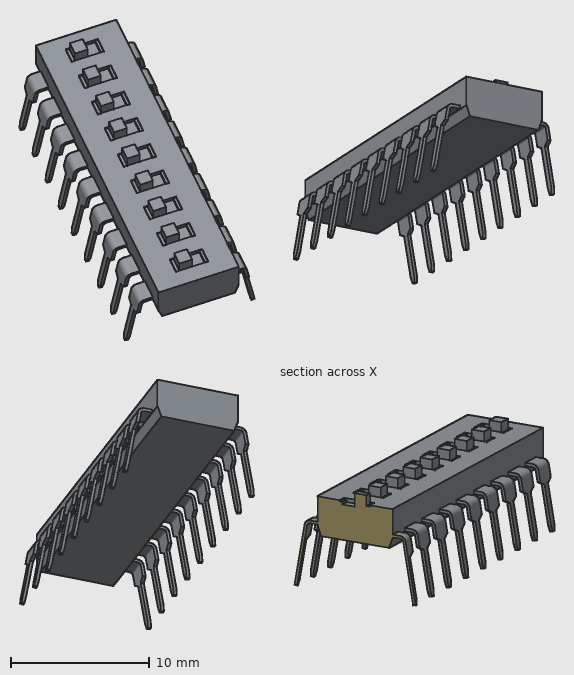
import cadquery as cq
import math


BODY_LENGTH = 23.9
BODY_WIDTH = 6.26
BODY_HEIGHT = 3.02
SKIRT_HEIGHT = 0.8
SKIRT_INSET = 0.3

POSITION_COUNT = 9
PITCH = 2.54
ROW_OFFSET_X = -0.07

SLOT_LENGTH = 2.5
SLOT_WIDTH = 1.2
SLOT_DEPTH = 0.1
POCKET_DEPTH = 0.3

ACTUATOR_WIDTH = 1.0
ACTUATOR_LENGTH = 1.0
ACTUATOR_HEIGHT = 0.72
ACTUATOR_BACK_Y = 0.03
POCKET_FRONT_Y = ACTUATOR_BACK_Y - ACTUATOR_LENGTH
POCKET_BACK_Y = ACTUATOR_BACK_Y + ACTUATOR_LENGTH

ROW_SPAN = 10.09
TOTAL_HEIGHT = 7.8
PIN_THICKNESS = 0.25
PIN_TOP_Z = -1.93
BEND_OUTER_RADIUS = 0.5
LEG_ANGLE = math.radians(10)
SHOULDER_WIDTH = 1.55
LEG_WIDTH = 0.52
TIP_WIDTH = 0.25
SHOULDER_BOTTOM_Z = -3.24
LEG_TOP_Z = -3.53
TIP_TAPER_HEIGHT = 0.5

PIN_END_Z = ACTUATOR_HEIGHT - TOTAL_HEIGHT


def box_between(x_center, width, y_front, y_back, z_bottom, z_top):
    """Box centred on x_center and spanning the given Y and Z limits."""
    return (
        cq.Workplane("XY", origin=(x_center, (y_front + y_back) / 2, z_bottom))
        .box(width, y_back - y_front, z_top - z_bottom, centered=(True, True, False))
    )


def make_body():
    """Bar whose long sides lean inward along the bottom."""
    half_width = BODY_WIDTH / 2
    skirt_top_z = SKIRT_HEIGHT - BODY_HEIGHT
    return (
        cq.Workplane("YZ")
        .polyline([
            (-half_width, 0),
            (half_width, 0),
            (half_width, skirt_top_z),
            (half_width - SKIRT_INSET, -BODY_HEIGHT),
            (SKIRT_INSET - half_width, -BODY_HEIGHT),
            (-half_width, skirt_top_z),
        ])
        .close()
        .extrude(BODY_LENGTH / 2, both=True)
    )


def make_slot(x):
    """Volume removed from the body for one actuator."""
    recess = box_between(x, SLOT_WIDTH, -SLOT_LENGTH / 2, SLOT_LENGTH / 2, -SLOT_DEPTH, 0)
    pocket = box_between(x, SLOT_WIDTH, POCKET_FRONT_Y, POCKET_BACK_Y, -POCKET_DEPTH, 0)
    return recess.union(pocket)


def make_actuator(x):
    """Block standing in the front half of the pocket."""
    return box_between(
        x, ACTUATOR_WIDTH, POCKET_FRONT_Y, ACTUATOR_BACK_Y, -POCKET_DEPTH, ACTUATOR_HEIGHT
    )


def make_bent_strip():
    """Side profile of a +Y pin, extruded to the shoulder width."""
    along_y, along_z = math.sin(LEG_ANGLE), -math.cos(LEG_ANGLE)
    out_y, out_z = math.cos(LEG_ANGLE), math.sin(LEG_ANGLE)
    bend_z = PIN_TOP_Z - BEND_OUTER_RADIUS
    inner_radius = BEND_OUTER_RADIUS - PIN_THICKNESS

    inner_end = (ROW_SPAN / 2 - PIN_THICKNESS * out_y, PIN_END_Z)
    outer_end = (ROW_SPAN / 2, PIN_END_Z + PIN_THICKNESS * out_z)
    leg_length = (bend_z + inner_radius * out_z - PIN_END_Z) / -along_z
    bend_y = inner_end[0] - leg_length * along_y - inner_radius * out_y

    def on_bend(radius, angle):
        return (bend_y + radius * math.cos(angle), bend_z + radius * math.sin(angle))

    top_angle = math.pi / 2
    middle_angle = (top_angle + LEG_ANGLE) / 2
    return (
        cq.Workplane("YZ")
        .moveTo(0, PIN_TOP_Z)
        .lineTo(*on_bend(BEND_OUTER_RADIUS, top_angle))
        .threePointArc(
            on_bend(BEND_OUTER_RADIUS, middle_angle), on_bend(BEND_OUTER_RADIUS, LEG_ANGLE)
        )
        .lineTo(*outer_end)
        .lineTo(*inner_end)
        .lineTo(*on_bend(inner_radius, LEG_ANGLE))
        .threePointArc(on_bend(inner_radius, middle_angle), on_bend(inner_radius, top_angle))
        .lineTo(0, PIN_TOP_Z - PIN_THICKNESS)
        .close()
        .extrude(SHOULDER_WIDTH / 2, both=True)
    )


def make_pin():
    """Pin on the +Y side at X = 0: bent strip trimmed to a shouldered leg with a tapered tip."""
    right_side = [
        (SHOULDER_WIDTH / 2, PIN_TOP_Z),
        (SHOULDER_WIDTH / 2, SHOULDER_BOTTOM_Z),
        (LEG_WIDTH / 2, LEG_TOP_Z),
        (LEG_WIDTH / 2, PIN_END_Z + TIP_TAPER_HEIGHT),
        (TIP_WIDTH / 2, PIN_END_Z),
    ]
    left_side = [(-x, z) for x, z in reversed(right_side)]
    front_outline = (
        cq.Workplane("XZ")
        .polyline(right_side + left_side)
        .close()
        .extrude(-ROW_SPAN)
    )
    return make_bent_strip().intersect(front_outline)


first_x = ROW_OFFSET_X - PITCH * (POSITION_COUNT - 1) / 2
position_xs = [first_x + PITCH * i for i in range(POSITION_COUNT)]

back_pin = make_pin()
front_pin = back_pin.mirror("XZ")

result = make_body()
for position_x in position_xs:
    result = result.cut(make_slot(position_x))
    result = result.union(make_actuator(position_x))
    for pin in (back_pin, front_pin):
        result = result.union(pin.translate((position_x, 0, 0)))